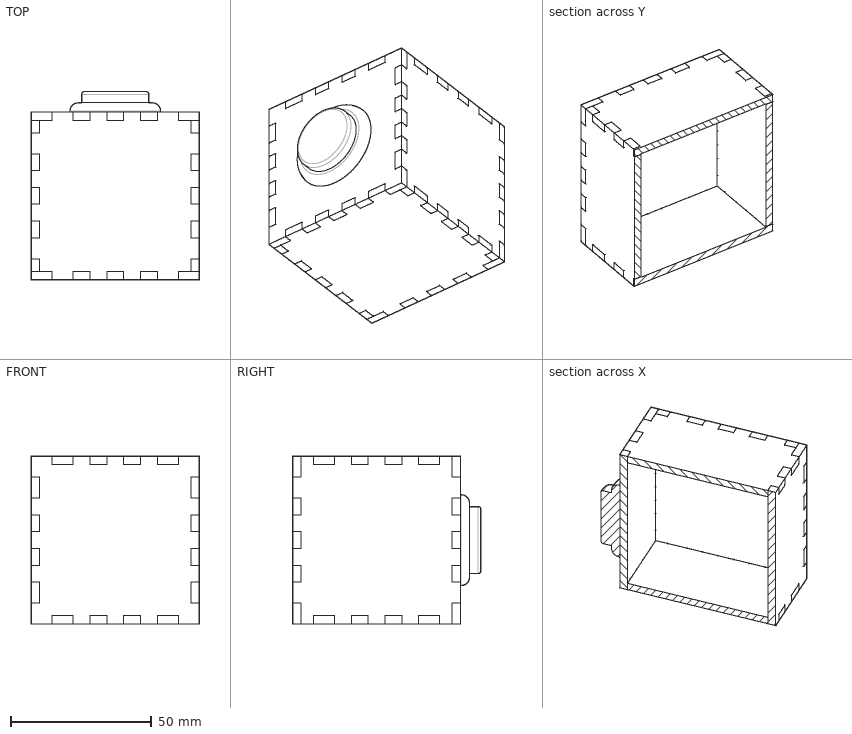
import cadquery as cq

WIDTH = 60.05
DEPTH = 60.0
HEIGHT = 60.0
PANEL_THICKNESS = 3.0

NARROW_FINGER_SHARE = 1 / 10
CORNER_FINGER_SHARE = 1 / 8

BUTTON_HEIGHT = 7.25
FLANGE_DIAMETER = 32.5
FLANGE_HEIGHT = 3.2
FLANGE_ROUNDING = 3.0
PLUNGER_DIAMETER = 24.0
PLUNGER_ROUNDING = 1.0


def block(x_size, y_size, z_size, x_mid=0, y_mid=0, z_mid=HEIGHT / 2):
    """Return a box with its middle at the given place, by default the middle of the housing."""
    return cq.Workplane("XY", origin=(x_mid, y_mid, z_mid)).box(x_size, y_size, z_size)


def notch_spans(edge_length):
    """Return (middle, length) of the four notches, measured from the middle of the edge."""
    narrow_length = edge_length * NARROW_FINGER_SHARE
    narrow_middle = narrow_length
    wide_length = edge_length * CORNER_FINGER_SHARE
    wide_middle = edge_length / 2 - wide_length - wide_length / 2
    return [(side * middle, length)
            for side in (-1, 1)
            for middle, length in ((narrow_middle, narrow_length), (wide_middle, wide_length))]


def end_panel(y_side):
    """Front (y_side = -1) or back (+1) panel: owns the box corners, notched on all four edges."""
    y_mid = y_side * (DEPTH - PANEL_THICKNESS) / 2
    panel = block(WIDTH, PANEL_THICKNESS, HEIGHT, y_mid=y_mid)
    for edge_side in (-1, 1):
        notch_z = HEIGHT / 2 + edge_side * (HEIGHT - PANEL_THICKNESS) / 2
        for middle, length in notch_spans(WIDTH):
            panel = panel.cut(block(length, PANEL_THICKNESS, PANEL_THICKNESS, middle, y_mid, notch_z))
        notch_x = edge_side * (WIDTH - PANEL_THICKNESS) / 2
        for middle, length in notch_spans(HEIGHT):
            panel = panel.cut(block(PANEL_THICKNESS, PANEL_THICKNESS, length,
                                    notch_x, y_mid, HEIGHT / 2 + middle))
    return panel


def side_panel(x_side, end_panels):
    """Left (x_side = -1) or right (+1) panel: notched top and bottom, fitted between the end panels."""
    x_mid = x_side * (WIDTH - PANEL_THICKNESS) / 2
    panel = block(PANEL_THICKNESS, DEPTH, HEIGHT, x_mid=x_mid)
    for edge_side in (-1, 1):
        notch_z = HEIGHT / 2 + edge_side * (HEIGHT - PANEL_THICKNESS) / 2
        for middle, length in notch_spans(DEPTH):
            panel = panel.cut(block(PANEL_THICKNESS, length, PANEL_THICKNESS, x_mid, middle, notch_z))
    for neighbour in end_panels:
        panel = panel.cut(neighbour)
    return panel


def cover_panel(z_side, wall_panels):
    """Bottom (z_side = -1) or top (+1) panel: its fingers fill the notches of the four walls."""
    z_mid = HEIGHT / 2 + z_side * (HEIGHT - PANEL_THICKNESS) / 2
    panel = block(WIDTH, DEPTH, PANEL_THICKNESS, z_mid=z_mid)
    for neighbour in wall_panels:
        panel = panel.cut(neighbour)
    return panel


def push_button():
    """Round button seated on the back panel, with a rounded flange and a rounded plunger."""
    seat = cq.Workplane("XZ", origin=(0, DEPTH / 2, HEIGHT / 2)).transformed(rotate=(180, 0, 0))
    flange = seat.circle(FLANGE_DIAMETER / 2).extrude(FLANGE_HEIGHT)
    flange = flange.faces(">Y").edges().fillet(FLANGE_ROUNDING)
    plunger = seat.circle(PLUNGER_DIAMETER / 2).extrude(BUTTON_HEIGHT)
    plunger = plunger.faces(">Y").edges().fillet(PLUNGER_ROUNDING)
    return flange.union(plunger)


end_panels = [end_panel(side) for side in (-1, 1)]
side_panels = [side_panel(side, end_panels) for side in (-1, 1)]
cover_panels = [cover_panel(side, end_panels + side_panels) for side in (-1, 1)]
button = push_button()

bodies = end_panels + side_panels + cover_panels + [button]
result = cq.Compound.makeCompound([body.solids().val() for body in bodies])